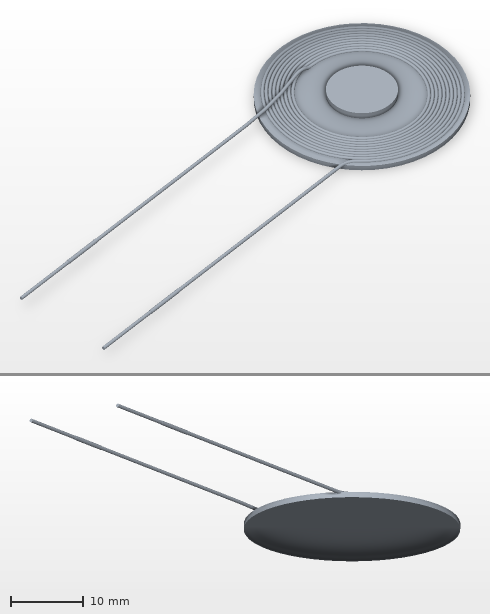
import cadquery as cq
import math

PLATE_DIAMETER = 30.0
PLATE_THICKNESS = 0.8
LABEL_DIAMETER = 10.0
TOTAL_HEIGHT = 1.7
TOTAL_LENGTH = 78.7

WIRE_DIAMETER = 0.5
COLLAR_DIAMETER = 0.6
COLLAR_LENGTH = 6.0
LEAD_TIP_LENGTH = 10.0

OUTER_TURN_RADIUS = 14.0
TURN_PITCH = 0.53
TURN_COUNT = 10

OUTER_LEAD_BEND_Y = -13.4
INNER_LEAD_Z = 1.4
RISE_END_Y = -2.4
FIRST_BEND_END_Y = -3.7
INNER_LEAD_BEND_END_Y = -15.75

TO_FRONT = cq.Vector(0, -1, 0)
TO_BACK = cq.Vector(0, 1, 0)
UP = cq.Vector(0, 0, 1)

plate_radius = PLATE_DIAMETER / 2
lead_x = plate_radius / 2
lead_end_y = plate_radius - TOTAL_LENGTH
collar_end_y = lead_end_y + LEAD_TIP_LENGTH

winding_z = PLATE_THICKNESS
inner_turn_radius = OUTER_TURN_RADIUS - (TURN_COUNT - 1) * TURN_PITCH


def point_on_turn(radius, angle):
    """Point of the winding at an angle in radians."""
    return cq.Vector(radius * math.cos(angle), radius * math.sin(angle), winding_z)


def turn_arc(radius, start_angle):
    """Counter-clockwise arc of one turn from start_angle (radians) round to the -X side."""
    return cq.Edge.makeThreePointArc(
        point_on_turn(radius, start_angle),
        point_on_turn(radius, (start_angle + math.pi) / 2),
        point_on_turn(radius, math.pi),
    )


def inward_quarter(radius):
    """Quarter ellipse from the -X side to the -Y side that moves inwards by one pitch."""
    centre = cq.Vector(0, 0, winding_z)
    return cq.Edge.makeEllipse(
        radius, radius - TURN_PITCH, centre, UP, cq.Vector(1, 0, 0), angle1=180, angle2=270
    )


def s_bend(start, end, fraction):
    """Two tangent arcs that leave start towards -Y, meet at a fraction of the chord and end at end."""
    middle = start + (end - start) * fraction
    first = cq.Edge.makeTangentArc(start, TO_FRONT, middle)
    second = cq.Edge.makeTangentArc(middle, first.tangentAt(1), end)
    return [first, second]


def outer_lead_and_first_turn():
    """Straight lead, a bend tangent to both lead and outermost turn, and that turn up to the -X side."""
    bend_start = cq.Vector(lead_x, OUTER_LEAD_BEND_Y, winding_z)
    bend_radius = (lead_x**2 + OUTER_LEAD_BEND_Y**2 - OUTER_TURN_RADIUS**2) / (
        2 * (OUTER_TURN_RADIUS - lead_x)
    )
    turn_start_angle = math.atan2(OUTER_LEAD_BEND_Y, lead_x + bend_radius)
    lead = cq.Edge.makeLine(cq.Vector(lead_x, lead_end_y, winding_z), bend_start)
    first_turn = turn_arc(OUTER_TURN_RADIUS, turn_start_angle)
    bend = cq.Edge.makeTangentArc(bend_start, TO_BACK, first_turn.startPoint())
    return [lead, bend, first_turn]


def inner_turns():
    edges = []
    for turn in range(1, TURN_COUNT):
        radius = OUTER_TURN_RADIUS - turn * TURN_PITCH
        edges.append(inward_quarter(radius + TURN_PITCH))
        edges.append(turn_arc(radius, -math.pi / 2))
    return edges


def inner_lead():
    """Rise from the innermost turn, crossing over the winding, and straight lead."""
    winding_end = point_on_turn(inner_turn_radius, math.pi)
    rise_end = cq.Vector(-inner_turn_radius, RISE_END_Y, INNER_LEAD_Z)
    bend_end = cq.Vector(-lead_x, INNER_LEAD_BEND_END_Y, INNER_LEAD_Z)
    bend_fraction = (FIRST_BEND_END_Y - RISE_END_Y) / (INNER_LEAD_BEND_END_Y - RISE_END_Y)
    rise = s_bend(winding_end, rise_end, fraction=0.5)
    crossing = s_bend(rise_end, bend_end, fraction=bend_fraction)
    lead = cq.Edge.makeLine(bend_end, cq.Vector(-lead_x, lead_end_y, INNER_LEAD_Z))
    return rise + crossing + [lead]


def make_collar(x, z):
    plane = cq.Plane(origin=(x, collar_end_y, z), xDir=(1, 0, 0), normal=TO_BACK)
    return cq.Workplane(plane).circle(COLLAR_DIAMETER / 2).extrude(COLLAR_LENGTH)


def make_coil():
    """One round wire from the tip of the outer lead to the tip of the inner lead, with both collars."""
    path = cq.Wire.assembleEdges(outer_lead_and_first_turn() + inner_turns() + inner_lead())
    section_plane = cq.Plane(origin=path.startPoint(), xDir=(1, 0, 0), normal=TO_BACK)
    coil = cq.Workplane(section_plane).circle(WIRE_DIAMETER / 2).sweep(cq.Workplane(obj=path))
    for x, z in [(lead_x, winding_z), (-lead_x, INNER_LEAD_Z)]:
        coil = coil.union(make_collar(x, z))
    return coil


def make_plate(coil):
    """Round plate with the groove in which the lower half of the winding and of the outer lead lies."""
    return cq.Workplane().circle(plate_radius).extrude(PLATE_THICKNESS).cut(coil)


def make_label():
    """Raised disc at the centre of the plate."""
    base = cq.Workplane().workplane(offset=PLATE_THICKNESS)
    return base.circle(LABEL_DIAMETER / 2).extrude(TOTAL_HEIGHT - PLATE_THICKNESS)


coil = make_coil()
plate = make_plate(coil)
label = make_label()

result = cq.Compound.makeCompound([*plate.solids().vals(), label.val(), *coil.solids().vals()])